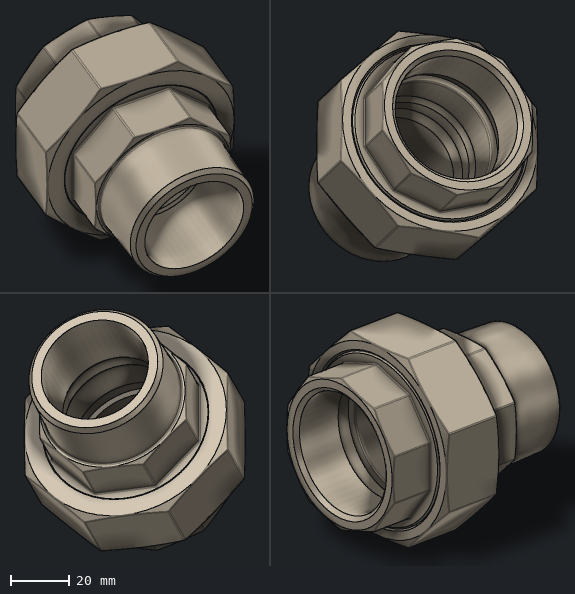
import cadquery as cq
import math


hex_end_x = 17.0
nut_length = 24.0
nut_end_x = hex_end_x + nut_length
male_hex_end_x = 58.0
total_length = 81.0

female_flats = 55.0
female_face_diameter = 54.0
female_end_x = 25.8
thread_bore_diameter = 44.84
thread_mouth_diameter = 48.0
thread_end_x = 19.3
relief_diameter = 49.0

nut_flats = 72.0
nut_face_diameter = 71.5
lip_length = 6.0
lip_bore_diameter = 59.0

thread_tip_diameter = 62.5
nut_mouth_diameter = 65.0
joint_diameter = (thread_tip_diameter + nut_mouth_diameter) / 2

male_start_x = 26.9
male_flats = 52.0
male_face_diameter = 51.5
collar_diameter = 58.5
male_flange_diameter = 62.5
male_mouth_diameter = 44.84
throat_diameter = 42.0
male_bore_diameter = 38.0
mouth_end_x = 41.0
throat_length = 6.0
mouth_fillet = 0.5
bore_cone_angle = 30.0
spigot_chamfer = 1.5
spigot_tip_x = total_length - spigot_chamfer
spigot_taper = 1 / 16
spigot_root_diameter = 49.0
spigot_tip_diameter = spigot_root_diameter - (spigot_tip_x - male_hex_end_x) * spigot_taper
spigot_end_diameter = spigot_tip_diameter - 2 * spigot_chamfer

corner_fillet = 0.8
bevel_angle = 20.0
bevel_fillet = 0.3
foot_fillet = 0.5


def revolve(points):
    """Solid of revolution about X from (x, radius) points."""
    return cq.Workplane("XY").polyline(points).close().revolve(360, (0, 0, 0), (1, 0, 0))


def cylinder(diameter, start_x, end_x):
    length = end_x - start_x
    return cq.Workplane("YZ", origin=(start_x, 0, 0)).circle(diameter / 2).extrude(length)


def cone(start_diameter, end_diameter, start_x, end_x):
    return revolve([(start_x, 0), (start_x, start_diameter / 2), (end_x, end_diameter / 2), (end_x, 0)])


def bevelled_prism(sides, flats, face_diameter, start_x, end_x, bevel_start, bevel_end):
    """Regular prism along X with a flat on +Y, conically bevelled at the chosen ends and rounded."""
    half_turn = math.pi / sides
    middle_x = (start_x + end_x) / 2
    face_radius = face_diameter / 2
    full_radius = face_radius + (middle_x - start_x) / math.tan(math.radians(bevel_angle))
    envelope = revolve([
        (start_x, 0),
        (start_x, face_radius if bevel_start else full_radius),
        (middle_x, full_radius),
        (end_x, face_radius if bevel_end else full_radius),
        (end_x, 0),
    ])
    prism = (
        cq.Workplane("YZ", origin=(start_x, 0, 0))
        .transformed(rotate=(0, 0, math.degrees(half_turn)))
        .polygon(sides, flats / math.cos(half_turn))
        .extrude(end_x - start_x)
        .edges("|X")
        .fillet(corner_fillet)
    )
    return prism.intersect(envelope)


def round_bevel(body, end_selector):
    """Round the edges between the flats and the bevel nearest the selected end."""
    return body.faces("%CONE").faces(end_selector).edges("not %CIRCLE").fillet(bevel_fillet)


def fillet_foot(body, x):
    """Fillet the outline of whatever stands on the flat annular face at x."""
    annuli = [face for face in body.faces("%PLANE").vals() if face.innerWires()]
    seat = min(annuli, key=lambda face: abs(face.Center().x - x))
    return body.newObject(seat.innerWires()).edges().fillet(foot_fillet)


def make_female_end():
    body = bevelled_prism(10, female_flats, female_face_diameter, 0, hex_end_x, True, False)
    body = round_bevel(body, "<X")
    tip_end_x = hex_end_x + (joint_diameter - thread_tip_diameter) / 2
    shank = cone(thread_tip_diameter, joint_diameter, hex_end_x, tip_end_x)
    body = body.union(shank).union(cylinder(joint_diameter, tip_end_x, female_end_x))
    body = fillet_foot(body, hex_end_x)
    mouth_depth = (thread_mouth_diameter - thread_bore_diameter) / 2
    body = body.cut(cone(thread_mouth_diameter, thread_bore_diameter, 0, mouth_depth))
    body = body.cut(cylinder(thread_bore_diameter, 0, thread_end_x))
    return body.cut(cylinder(relief_diameter, thread_end_x, female_end_x))


def make_nut():
    nut = bevelled_prism(8, nut_flats, nut_face_diameter, hex_end_x, nut_end_x, True, True)
    nut = round_bevel(nut, "<X")
    nut = round_bevel(nut, ">X")
    mouth = (nut_mouth_diameter - joint_diameter) / 2
    nut = nut.cut(cone(nut_mouth_diameter, joint_diameter, hex_end_x, hex_end_x + mouth))
    nut = nut.cut(cylinder(joint_diameter, hex_end_x, nut_end_x - lip_length))
    return nut.cut(cylinder(lip_bore_diameter, hex_end_x, nut_end_x))


def make_male_end():
    body = bevelled_prism(8, male_flats, male_face_diameter, nut_end_x, male_hex_end_x, False, True)
    body = round_bevel(body, ">X")
    body = body.union(cylinder(collar_diameter, nut_end_x - lip_length, nut_end_x))
    body = body.union(cylinder(male_flange_diameter, male_start_x, nut_end_x - lip_length))
    body = body.union(cone(spigot_root_diameter, spigot_tip_diameter, male_hex_end_x, spigot_tip_x))
    body = body.union(cone(spigot_tip_diameter, spigot_end_diameter, spigot_tip_x, total_length))
    body = fillet_foot(body, nut_end_x)
    body = fillet_foot(body, male_hex_end_x)
    body = body.cut(male_bore())
    return body.faces("<X").edges(cq.selectors.RadiusNthSelector(0)).fillet(mouth_fillet)


def male_bore():
    """Bore narrowing in two conical steps towards the spigot."""
    cone_slope = math.tan(math.radians(bore_cone_angle))
    throat_start_x = mouth_end_x + (male_mouth_diameter - throat_diameter) / 2 / cone_slope
    throat_end_x = throat_start_x + throat_length
    bore_start_x = throat_end_x + (throat_diameter - male_bore_diameter) / 2 / cone_slope
    return revolve([
        (male_start_x, 0),
        (male_start_x, male_mouth_diameter / 2),
        (mouth_end_x, male_mouth_diameter / 2),
        (throat_start_x, throat_diameter / 2),
        (throat_end_x, throat_diameter / 2),
        (bore_start_x, male_bore_diameter / 2),
        (total_length, male_bore_diameter / 2),
        (total_length, 0),
    ])


female_end = make_female_end()
nut = make_nut()
male_end = make_male_end()

result = cq.Compound.makeCompound([female_end.val(), nut.val(), male_end.val()])